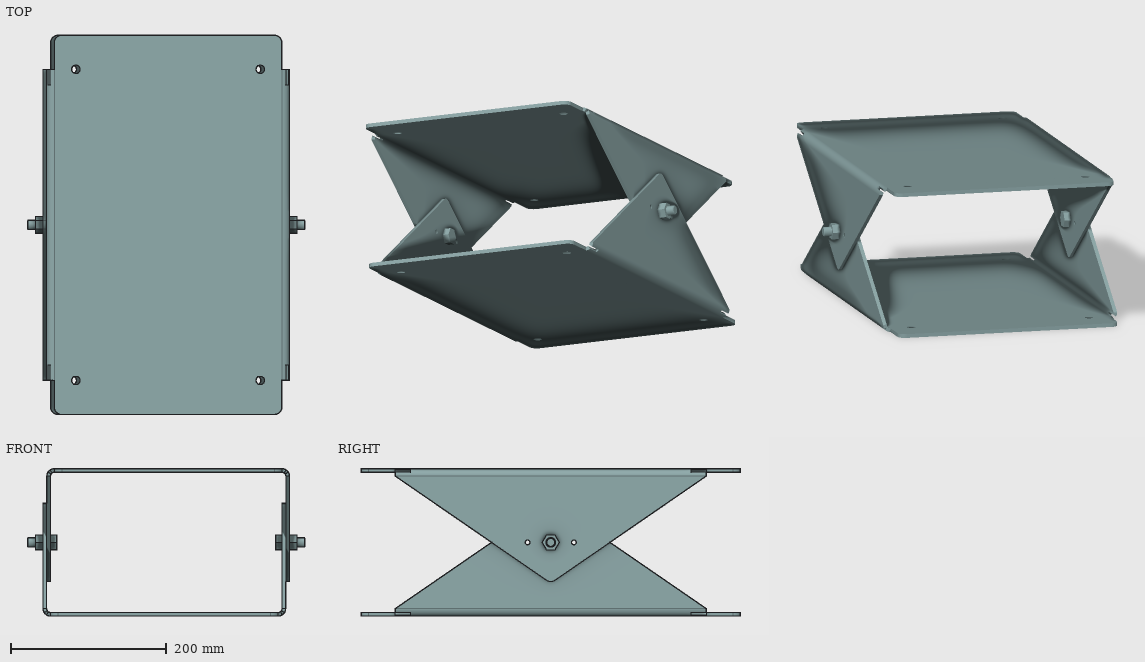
import cadquery as cq
import math

plate_length = 488.0
overall_height = 190.0
sheet = 5.0
bracket_width = 312.5
corner_radius = 10.0
bend_outer_radius = 10.0
bend_inner_radius = bend_outer_radius - sheet
plate_width = bracket_width - 2 * bend_outer_radius
lap_offset = sheet / 2

flange_length = 400.0
flange_apex_depth = 147.5
flange_tip_radius = 10.0

slit_angle = 24.0
slit_length = 20.0
slit_reach = 2 * bend_outer_radius

mount_hole_diameter = 10.5
mount_spacing_x = 237.0
mount_spacing_y = 400.0
pin_hole_diameter = 6.0
pin_hole_offset = 30.0
pivot_depth = overall_height / 2

bolt_diameter = 12.0
bolt_end_chamfer = 1.0
hex_flats = 19.0
hex_corners = hex_flats / math.cos(math.radians(30))
bolt_head_height = 8.5
nut_height = 10.0
bolt_projection = 10.2
lap_inner = bracket_width / 2 + lap_offset - 2 * sheet
lap_outer = bracket_width / 2 + lap_offset
bolt_end = lap_outer + nut_height + bolt_projection


def make_channel():
    """U-shaped channel with rounded bends, top face at Z = 0 and flanges hanging down."""
    outer = (
        cq.Workplane("XY")
        .box(bracket_width, flange_length, flange_apex_depth, centered=(True, True, False))
        .translate((0, 0, -flange_apex_depth))
        .edges("|Y and >Z")
        .fillet(bend_outer_radius)
    )
    inner = (
        cq.Workplane("XY")
        .box(bracket_width - 2 * sheet, flange_length, flange_apex_depth, centered=(True, True, False))
        .translate((0, 0, -flange_apex_depth - sheet))
        .edges("|Y and >Z")
        .fillet(bend_inner_radius)
    )
    return outer.cut(inner)


def make_flange_outline():
    """Prism along X whose triangle, with a rounded tip, trims both side flanges."""
    half_length = flange_length / 2
    return (
        cq.Workplane("YZ")
        .polyline([
            (-half_length, 0),
            (-half_length, -bend_outer_radius),
            (0, -flange_apex_depth),
            (half_length, -bend_outer_radius),
            (half_length, 0),
        ])
        .close()
        .extrude(bracket_width / 2, both=True)
        .edges("|X and <Z")
        .fillet(flange_tip_radius)
    )


def make_plate():
    """Flat base plate with rounded corners, longer than the bent flanges."""
    return (
        cq.Workplane("XY")
        .rect(plate_width, plate_length)
        .extrude(-sheet)
        .edges("|Z")
        .fillet(corner_radius)
    )


def make_bend_slit(end):
    """Wedge with its point on the bend axis, opening the middle of the +X bend at one Y end."""
    corners = [(0, 0)]
    for angle in (45 - slit_angle / 2, 45 + slit_angle / 2):
        corner_x = slit_reach * math.cos(math.radians(angle))
        corner_z = slit_reach * math.sin(math.radians(angle))
        corners.append((corner_x, corner_z))
    return (
        cq.Workplane("XZ")
        .polyline(corners)
        .close()
        .extrude(slit_length / 2, both=True)
        .translate((plate_width / 2, end * (flange_length - slit_length) / 2, -bend_outer_radius))
    )


def make_bracket():
    """One bracket centred on X = 0 with its plate on top."""
    bracket = make_channel().intersect(make_flange_outline()).union(make_plate())

    for end in (-1, 1):
        slit = make_bend_slit(end)
        bracket = bracket.cut(slit).cut(slit.mirror("YZ"))

    mount_holes = (
        cq.Workplane("XY")
        .rect(mount_spacing_x, mount_spacing_y, forConstruction=True)
        .vertices()
        .circle(mount_hole_diameter / 2)
        .extrude(-sheet)
    )
    flange_holes = (
        cq.Workplane("YZ")
        .center(0, -pivot_depth)
        .circle(bolt_diameter / 2)
        .pushPoints([(-pin_hole_offset, 0), (pin_hole_offset, 0)])
        .circle(pin_hole_diameter / 2)
        .extrude(bracket_width / 2, both=True)
    )
    return bracket.cut(mount_holes).cut(flange_holes)


def make_upper_bracket():
    """Bracket with its plate on top, shifted to +X."""
    return make_bracket().translate((lap_offset, 0, overall_height / 2))


def make_lower_bracket():
    """The same bracket turned over about the Y axis."""
    return make_upper_bracket().rotate((0, 0, 0), (0, 1, 0), 180)


def make_bolt(angle):
    """Pivot bolt along +X with its head inside the flanges, turned about Z by angle."""
    head = (
        cq.Workplane("YZ")
        .workplane(offset=lap_inner - bolt_head_height)
        .polygon(6, hex_corners)
        .extrude(bolt_head_height)
    )
    shank = (
        cq.Workplane("YZ")
        .workplane(offset=lap_inner)
        .circle(bolt_diameter / 2)
        .extrude(bolt_end - lap_inner)
        .faces(">X")
        .chamfer(bolt_end_chamfer)
    )
    return head.union(shank).rotate((0, 0, 0), (0, 0, 1), angle)


def make_nut(angle):
    """Hexagon nut against the outer flange face, turned about Z by angle."""
    return (
        cq.Workplane("YZ")
        .workplane(offset=lap_outer)
        .polygon(6, hex_corners)
        .circle(bolt_diameter / 2)
        .extrude(nut_height)
        .rotate((0, 0, 0), (0, 0, 1), angle)
    )


upper_bracket = make_upper_bracket()
lower_bracket = make_lower_bracket()
side_angles = (0, 180)
bolts = [make_bolt(angle).val() for angle in side_angles]
nuts = [make_nut(angle).val() for angle in side_angles]

result = cq.Compound.makeCompound([upper_bracket.val(), lower_bracket.val(), *bolts, *nuts])